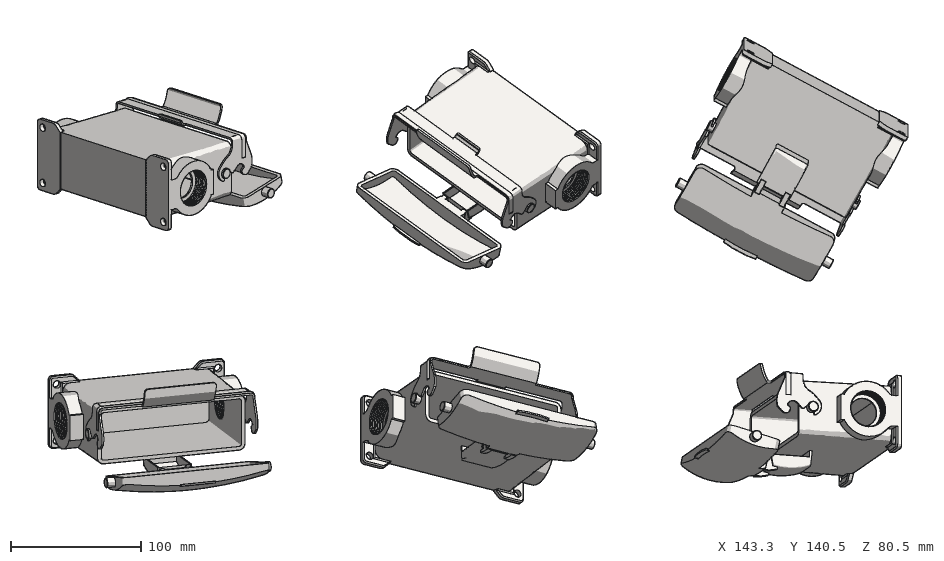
import cadquery as cq
import math


floor_y = 0.85
draft_start_y = 74.3
mouth_y = 79.2
rear_half_width = 61.8
rear_half_height = 23.1
mouth_half_width = 60.4
mouth_half_height = 22.0
mouth_corner_radius = 5.2
rear_corner_radius = 6.4
wall = 3.0

foot_outer_x = 143.32 / 2
foot_inner_x = 46.8
foot_half_height = 28.75
foot_thickness = 4.2
foot_edge_chamfer = 1.0
foot_corner_radius = 3.0
foot_bevel_start_x = 52.5
foot_bevel_radius = 5.0
screw_hole_x = 66.0
screw_hole_z = 22.4
screw_hole_radius = 2.95
collar_height = 1.0

port_y = 27.2
port_radius = 21.7
port_pad_half_height = 10.0
port_neck_half_height = 12.1
port_neck_fillet = 4.5
port_root_x = 56.0
thread_root_radius = 14.2
thread_crest_radius = 13.6
thread_pitch = 1.5
thread_end_x = 59.5
port_bore_radius = 10.9

pivot_y = 69.2
pivot_z = 0.3
pivot_radius = 4.0
pivot_tip_x = 65.5
pin_chamfer = 0.4

sheet = 1.5
lever_half_width = 63.85
lever_top_z = 26.5
lever_rear_y = 77.1
lever_front_y = 91.9
lever_bend_radius = 3.3
lever_web_bottom_z = 21.5
pivot_clearance = 0.1
bead_y = 88.95
bead_width = 4.1
bead_height = 0.7
bead_bottom_z = 8.4
crown_y = 82.0
crown_width = 4.0
crown_height = 0.35
crown_half_length = 60.4
grip_half_width = 29.2
grip_top_z = 40.4
grip_corner_radius = 2.5
grip_root_fillet = 1.8
tab_half_width = 12.4
tab_top_z = 29.5
tab_corner_radius = 1.5

cover_length = 43.1
cover_half_width = 60.4
cover_corner_radius = 5.0
cover_inner_radius = 2.0
cover_depth = 16.0
crown_radius_along = 56.0
crown_half_sweep = 15.0
crown_low_y = 18.9
crown_radius_across = 316.0
latch_pin_y = 21.6
latch_pin_drop = 3.9
latch_pin_radius = 3.8
latch_pin_tip_x = 67.2
nub_half_width = 14.0
nub_reach = 2.6
nub_thickness = 1.4
nub_end_bevel = 1.0
nub_end_taper = 8.0
nub_z = -10.9
boss_length = 5.1
boss_half_width = 13.4

cover_tilt = 13.1
cover_hinge_y = 93.5
cover_hinge_z = -27.35
strap_half_width = 13.9
strap_sheet = 1.1
knuckle_outer_x = 12.7
knuckle_inner_x = 8.6
strap_leaf_y = 53.1
strap_rear_y = 54.4
strap_corner_z = -34.2
strap_bottom_y = 84.9
strap_bottom_z = -36.2
strap_sag_y = 70.0
strap_sag_z = -37.4
strap_edge_radius = 1.05
strap_front_y = 86.6
strap_rim_z = -27.1


def block(x_range, y_range, z_range):
    """Box given by its limits along each axis."""
    size = [high - low for low, high in (x_range, y_range, z_range)]
    corner = (x_range[0], y_range[0], z_range[0])
    return cq.Workplane("XY").box(*size, centered=False).translate(corner)


def both_sides(shape):
    """Shape joined with its mirror image across x = 0."""
    return shape.union(shape.mirror("YZ"))


def side_extrusion(profile, x_start, x_end):
    """Extrude a closed YZ profile between two X stations."""
    return profile.extrude(x_end - x_start).translate((x_start, 0, 0))


def cross_plane(y):
    """XZ plane at station y."""
    return cq.Workplane("XZ", origin=(0, y, 0))


def rounded_section(half_width, half_height, radius):
    return cq.Sketch().rect(2 * half_width, 2 * half_height).vertices().fillet(radius)


def body_form(inset, rear_y, front_y):
    """Tapered rounded box; inset shrinks every side by the same amount."""
    mouth = rounded_section(mouth_half_width - inset, mouth_half_height - inset, mouth_corner_radius - inset)
    rear = rounded_section(rear_half_width - inset, rear_half_height - inset, rear_corner_radius - inset)
    rear = rear.moved(cq.Location(cq.Vector(0, 0, draft_start_y - rear_y)))
    drafted = cross_plane(draft_start_y).placeSketch(mouth, rear).loft()
    straight = cross_plane(front_y).placeSketch(mouth).extrude(front_y - draft_start_y)
    return drafted.union(straight)


def make_foot():
    """Mounting foot on the -X side with bevelled inner corners."""
    outline = [
        (-foot_outer_x, -foot_half_height),
        (-foot_bevel_start_x, -foot_half_height),
        (-foot_inner_x, -rear_half_height),
        (-foot_inner_x, rear_half_height),
        (-foot_bevel_start_x, foot_half_height),
        (-foot_outer_x, foot_half_height),
    ]
    foot = cross_plane(0).polyline(outline).close().extrude(-foot_thickness)
    foot = foot.edges("|Y").edges("<X").fillet(foot_corner_radius)
    for sign in (1, -1):
        bevel_corner = cq.selectors.NearestToPointSelector(
            (-foot_bevel_start_x, foot_thickness / 2, sign * foot_half_height)
        )
        foot = foot.edges("|Y").edges(bevel_corner).fillet(foot_bevel_radius)
    foot = foot.faces(">Y").edges().chamfer(foot_edge_chamfer)

    collar = (
        cross_plane(foot_thickness)
        .rect(2 * (rear_half_width + collar_height), 2 * (rear_half_height + collar_height))
        .extrude(-collar_height, taper=45)
    )
    collar_zone = block((-foot_outer_x, -foot_inner_x - foot_edge_chamfer), (0, mouth_y),
                        (-foot_half_height, foot_half_height))
    return foot.union(collar.intersect(collar_zone))


def make_port():
    """Solid cable entry on the -X side, before boring."""
    round_part = side_extrusion(
        cq.Workplane("YZ").center(port_y, 0).circle(port_radius), -foot_outer_x, -port_root_x)
    x_range = (-foot_outer_x, -port_root_x)
    neck = block(x_range, (0, port_y), (-port_neck_half_height, port_neck_half_height))
    port = round_part.union(neck)
    junction_y = port_y - math.sqrt(port_radius**2 - port_neck_half_height**2)
    for sign in (1, -1):
        junction = cq.selectors.NearestToPointSelector(
            (-(foot_outer_x + port_root_x) / 2, junction_y, sign * port_neck_half_height)
        )
        port = port.edges("|X").edges(junction).fillet(port_neck_fillet)
    pad = block(x_range, (port_y, port_y + port_radius), (-port_pad_half_height, port_pad_half_height))
    return port.union(pad)


def make_port_bore():
    """Ring-grooved thread bore, then a smaller bore through the wall."""
    thread_length = foot_outer_x - thread_end_x
    grooves = int(thread_length / thread_pitch)
    profile = cq.Workplane("XY").moveTo(-foot_outer_x, 0).lineTo(-foot_outer_x, thread_root_radius)
    for groove in range(grooves):
        x = -foot_outer_x + groove * thread_pitch
        profile = profile.lineTo(x + thread_pitch / 2, thread_crest_radius)
        profile = profile.lineTo(x + thread_pitch, thread_root_radius)
    inner_x = -foot_outer_x + grooves * thread_pitch
    profile = (
        profile.lineTo(inner_x, port_bore_radius)
        .lineTo(-port_root_x, port_bore_radius)
        .lineTo(-port_root_x, 0)
        .close()
    )
    return profile.revolve(360, (0, 0, 0), (1, 0, 0)).translate((0, port_y, 0))


def make_side_pin(y, z, radius, root_x, tip_x):
    """Pin pointing to -X with a chamfered tip."""
    pin = side_extrusion(cq.Workplane("YZ").center(y, z).circle(radius), -tip_x, -root_x)
    return pin.faces("<X").chamfer(pin_chamfer)


def make_housing():
    pin = make_side_pin(pivot_y, pivot_z, pivot_radius, mouth_half_width - wall / 2, pivot_tip_x)
    sides = make_foot().union(make_port()).union(pin)
    housing = body_form(0, floor_y, mouth_y).union(both_sides(sides))
    housing = housing.cut(body_form(wall, floor_y + wall, mouth_y))
    housing = housing.cut(both_sides(make_port_bore()))
    screw_holes = (
        cross_plane(foot_thickness)
        .rect(2 * screw_hole_x, 2 * screw_hole_z, forConstruction=True)
        .vertices()
        .circle(screw_hole_radius)
        .extrude(foot_thickness)
    )
    return housing.cut(screw_holes)


def make_web():
    """Flat top of the lever with its bends and short vertical skirts."""
    y_range = (lever_rear_y, lever_front_y)
    outer = block((-lever_half_width, lever_half_width), y_range, (lever_web_bottom_z, lever_top_z))
    outer = outer.edges("|Y").edges(">Z").fillet(lever_bend_radius)
    inner_half = lever_half_width - sheet
    inner = block((-inner_half, inner_half), y_range, (lever_web_bottom_z, lever_top_z - sheet))
    inner = inner.edges("|Y").edges(">Z").fillet(lever_bend_radius - sheet)
    return outer.cut(inner)


def make_bead():
    """Rounded stiffening bead running up one side, over the top and down the other."""
    r = lever_bend_radius
    flat_half = lever_half_width - r
    path = (
        cross_plane(bead_y)
        .moveTo(-lever_half_width, bead_bottom_z)
        .lineTo(-lever_half_width, lever_top_z - r)
        .radiusArc((-flat_half, lever_top_z), r)
        .lineTo(flat_half, lever_top_z)
        .radiusArc((lever_half_width, lever_top_z - r), r)
        .lineTo(lever_half_width, bead_bottom_z)
    )
    half = bead_width / 2
    root = sheet / 2
    section = (
        cq.Workplane("XY", origin=(-lever_half_width, bead_y, bead_bottom_z))
        .moveTo(root, -half)
        .lineTo(0, -half)
        .threePointArc((-bead_height, 0), (0, half))
        .lineTo(root, half)
        .close()
    )
    return section.sweep(path)


def make_lever_cheek():
    """Side plate on -X: latch hook at the front, open pivot seat at the rear."""
    seat_radius = pivot_radius + pivot_clearance

    def seat_point(angle):
        radians = math.radians(angle)
        return (pivot_y + seat_radius * math.cos(radians), pivot_z + seat_radius * math.sin(radians))

    profile = (
        cq.Workplane("YZ")
        .moveTo(lever_front_y, lever_web_bottom_z)
        .lineTo(97.5, 8.4)
        .threePointArc((98.2, 3.5), (97.6, -1.2))
        .lineTo(93.4, -5.3)
        .threePointArc((89.0, -5.4), (87.3, -1.6))
        .lineTo(89.6, 0.6)
        .threePointArc((86.2, 3.9), (81.8, 2.7))
        .lineTo(77.9, -1.2)
        .threePointArc((76.8, -1.4), (75.8, -0.9))
        .lineTo(*seat_point(20))
        .threePointArc(seat_point(135), seat_point(255))
        .lineTo(68.1, -4.9)
        .threePointArc((67.2, -5.9), (66.2, -5.4))
        .threePointArc((62.2, 0.9), (65.0, 6.9))
        .threePointArc((69.1, 11.0), (73.5, 13.8))
        .threePointArc((75.8, 16.8), (lever_rear_y, lever_web_bottom_z))
        .close()
    )
    return side_extrusion(profile, -lever_half_width, -lever_half_width + sheet)


def make_grip():
    """Curved thumb plate rising from the front edge of the lever."""
    underside_z = lever_top_z - sheet
    profile = (
        cq.Workplane("YZ")
        .moveTo(lever_front_y, underside_z)
        .lineTo(94.8, underside_z)
        .threePointArc((98.3, 31.5), (100.4, grip_top_z))
        .lineTo(98.7, grip_top_z)
        .threePointArc((96.7, 32.3), (93.9, lever_top_z))
        .lineTo(lever_front_y, lever_top_z)
        .close()
    )
    grip = side_extrusion(profile, -grip_half_width, grip_half_width)
    return grip.edges("|Y").edges(">Z").fillet(grip_corner_radius)


def make_grip_roots():
    """Concave corners where the grip leaves the front edge of the lever."""
    r = grip_root_fillet
    root = (
        cq.Workplane("XY", origin=(-grip_half_width, lever_front_y, lever_top_z - sheet))
        .moveTo(0, 0)
        .lineTo(0, r)
        .radiusArc((-r, 0), r)
        .close()
        .extrude(sheet)
    )
    return both_sides(root)


def make_tab():
    """Short upturned lip on the rear edge of the lever."""
    profile = (
        cq.Workplane("YZ")
        .moveTo(lever_rear_y, lever_top_z)
        .lineTo(75.1, lever_top_z)
        .lineTo(73.5, 28.4)
        .lineTo(73.5, tab_top_z)
        .lineTo(72.0, tab_top_z)
        .lineTo(72.0, 27.7)
        .lineTo(74.8, lever_top_z - sheet)
        .lineTo(lever_rear_y, lever_top_z - sheet)
        .close()
    )
    tab = side_extrusion(profile, -tab_half_width, tab_half_width)
    return tab.edges("|Y").edges(">Z").fillet(tab_corner_radius)


def make_lever():
    lever = make_web().union(both_sides(make_lever_cheek())).union(make_bead())
    crown = (
        cq.Workplane("YZ")
        .moveTo(crown_y - crown_width / 2, lever_top_z)
        .threePointArc((crown_y, lever_top_z + crown_height), (crown_y + crown_width / 2, lever_top_z))
        .close()
    )
    lever = lever.union(side_extrusion(crown, -crown_half_length, crown_half_length))
    return lever.union(make_grip()).union(make_grip_roots()).union(make_tab())


def crowned_form(inset):
    """Region above a floor that bulges downward both along Y and across X."""
    along = crown_radius_along - inset
    axis_z = crown_radius_across - cover_depth
    lowest_z = -cover_depth + inset
    reach = cover_length
    rise = along - math.sqrt(along**2 - reach**2)
    profile = (
        cq.Workplane("YZ")
        .moveTo(crown_low_y - reach, lowest_z + rise)
        .threePointArc((crown_low_y, lowest_z), (crown_low_y + reach, lowest_z + rise))
        .lineTo(crown_low_y + reach, cover_depth + rise)
        .lineTo(crown_low_y - reach, cover_depth + rise)
        .close()
    )
    swept = profile.revolve(2 * crown_half_sweep, (0, axis_z, 0), (1, axis_z, 0))
    return swept.rotate((0, 0, axis_z), (0, 1, axis_z), -crown_half_sweep)


def cover_prism(inset, radius):
    prism = block((-cover_half_width + inset, cover_half_width - inset),
                  (inset, cover_length - inset), (-2 * cover_depth, 0))
    return prism.edges("|Z").fillet(radius)


def make_flat_cover():
    """Hollow crowned lid with latch pins, hinge boss and finger nub."""
    lid = cover_prism(0, cover_corner_radius).intersect(crowned_form(0))
    boss = block((-boss_half_width, boss_half_width), (-boss_length, wall / 2), (-2 * cover_depth, 0))
    lid = lid.union(boss.intersect(crowned_form(0)))
    cavity = cover_prism(wall, cover_inner_radius).intersect(crowned_form(wall))
    pin = make_side_pin(latch_pin_y, -latch_pin_drop, latch_pin_radius,
                        cover_half_width - wall / 2, latch_pin_tip_x)
    nub = block((-nub_half_width, nub_half_width), (cover_length - wall / 2, cover_length + nub_reach),
                (nub_z, nub_z + nub_thickness))
    nub = nub.edges("|Z").edges(">Y").chamfer(nub_end_bevel, nub_end_taper)
    return lid.cut(cavity).union(both_sides(pin)).union(nub)


def strap_outline(inset, rear_top_y, top_z):
    """Open side outline of the hinge strap; inset moves its underside and rear corner inward."""
    rear_y = strap_rear_y + inset
    return (
        cq.Workplane("YZ")
        .moveTo(strap_front_y, strap_rim_z)
        .lineTo(strap_bottom_y, strap_bottom_z + inset)
        .threePointArc((strap_sag_y, strap_sag_z + inset), (rear_y, strap_corner_z + inset))
        .lineTo(rear_top_y, top_z)
    )


def make_strap():
    """Open-topped hinge pan whose rear leaf rises to the underside of the housing."""
    draft_ratio = (draft_start_y - strap_leaf_y) / (draft_start_y - floor_y)
    leaf_top_z = -mouth_half_height - draft_ratio * (rear_half_height - mouth_half_height)
    leaf_front_y = strap_rear_y + strap_sheet
    outline = (
        strap_outline(0, strap_leaf_y, leaf_top_z)
        .lineTo(leaf_front_y, leaf_top_z)
        .lineTo(leaf_front_y, strap_rim_z)
        .close()
    )
    pan = side_extrusion(outline, -strap_half_width, strap_half_width)
    for sign in (1, -1):
        x = sign * strap_half_width
        underside = cq.selectors.NearestToPointSelector((x, strap_sag_y, strap_sag_z))
        leaf_edge = cq.selectors.NearestToPointSelector((x, strap_leaf_y, (leaf_top_z + strap_corner_z) / 2))
        pan = pan.edges(cq.selectors.SumSelector(underside, leaf_edge)).fillet(strap_edge_radius)
    inner_half = strap_half_width - strap_sheet
    hollow = strap_outline(strap_sheet, leaf_front_y, strap_rim_z).close()
    pan = pan.cut(side_extrusion(hollow, -inner_half, inner_half))

    knuckle_profile = (
        cq.Workplane("YZ")
        .moveTo(strap_front_y, strap_rim_z - strap_sheet)
        .lineTo(89.5, -28.4)
        .lineTo(92.0, -39.7)
        .lineTo(87.0, -39.5)
        .lineTo(81.0, -38.3)
        .lineTo(81.0, -36.5)
        .lineTo(strap_bottom_y, strap_bottom_z)
        .close()
    )
    knuckle = side_extrusion(knuckle_profile, -knuckle_outer_x, -knuckle_inner_x)
    return pan.union(both_sides(knuckle))


def make_cover():
    lid = make_flat_cover().rotate((0, 0, 0), (1, 0, 0), cover_tilt)
    lid = lid.translate((0, cover_hinge_y, cover_hinge_z))
    return lid.union(make_strap())


housing = make_housing()
lever = make_lever()
cover = make_cover()

result = cq.Compound.makeCompound([housing.val(), lever.val(), cover.val()])